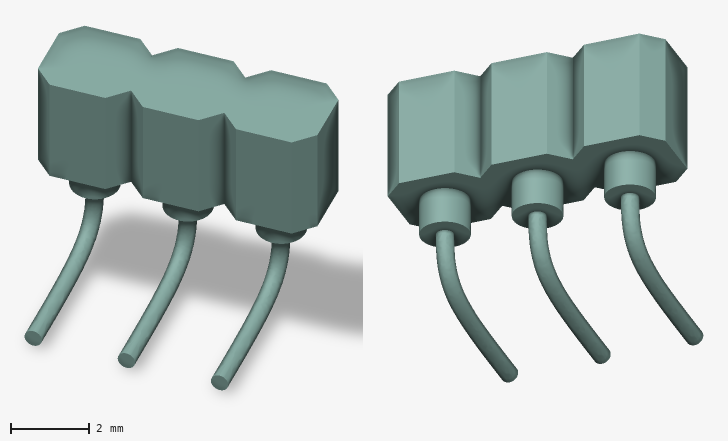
import cadquery as cq

contact_count = 3
row_length = 7.62
row_depth = 5.74
row_height = 5.93
pitch = row_length / contact_count

block_width = pitch
block_height = 3.0
block_chamfer = 0.51
collar_diameter = 1.32
collar_height = 0.99

wire_diameter = 0.47
bend_start_handle = 1.56
bend_end_handle = 3.77

block_bottom = -block_height
collar_bottom = block_bottom - collar_height
wire_tip_y = block_width / 2 - row_depth
wire_tip_z = wire_diameter / 2 - row_height


def make_block():
    """Square block with its four vertical edges chamfered."""
    return (
        cq.Workplane("XY")
        .workplane(offset=block_bottom)
        .rect(block_width, block_width)
        .extrude(block_height)
        .edges("|Z")
        .chamfer(block_chamfer)
    )


def make_collar():
    """Round collar under the block."""
    return (
        cq.Workplane("XY")
        .workplane(offset=collar_bottom)
        .circle(collar_diameter / 2)
        .extrude(collar_height)
    )


def make_wire():
    """Round wire swept along a Bezier curve in the YZ plane."""
    path = cq.Workplane("YZ").bezier(
        [
            (0, collar_bottom),
            (0, collar_bottom - bend_start_handle),
            (wire_tip_y + bend_end_handle, wire_tip_z),
            (wire_tip_y, wire_tip_z),
        ]
    )
    return (
        cq.Workplane("XY")
        .workplane(offset=collar_bottom)
        .circle(wire_diameter / 2)
        .sweep(path)
    )


def make_contact(x):
    """One contact: block, collar and wire as a single solid centred at x."""
    contact = make_block().union(make_collar()).union(make_wire())
    return contact.translate((x, 0, 0))


contacts = []
for index in range(contact_count):
    contact_x = (index - (contact_count - 1) / 2) * pitch
    contacts.append(make_contact(contact_x).val())

result = cq.Compound.makeCompound([solid for contact in contacts for solid in contact.Solids()])